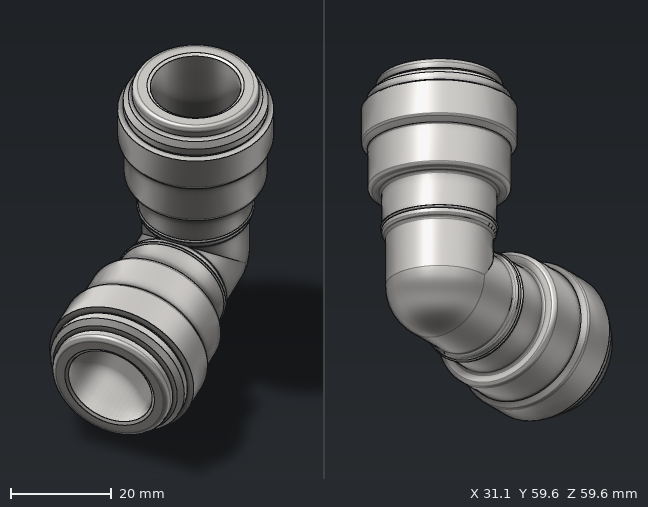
import cadquery as cq
import math

elbow_r = 10.75
tube_r = 22.9 / 2
bead_r = 0.3
body_r = 28.5 / 2
collar_r = 31.1 / 2
groove_r = 28.3 / 2
ring_r = 28.9 / 2
neck_r = 20.05 / 2
cap_r = 25.3 / 2

overall_length = 59.65
cap_end = overall_length - collar_r
cap_start = 41.8
ring_end = 41.2
ring_start = 38.55
collar_end = 37.95
collar_start = 30.6
body_end = 29.1
body_start = 20.2
bead_center = 12.45
step_start = 10.15
step_end = 11.35

cap_round = 1.1
neck_fillet = 0.3
ring_chamfer = 1.1
collar_chamfer = 1.2
body_round = 0.9
tube_fillet = 0.55
collar_round = 0.7

step_rise = tube_r - elbow_r
step_length = step_end - step_start
step_arc_r = (step_rise**2 + step_length**2) / (4 * step_rise)
step_middle = ((elbow_r + tube_r) / 2, (step_start + step_end) / 2)

collar_tangent = collar_round * math.tan(math.radians(45 / 2))
collar_tangent_leg = collar_tangent * math.cos(math.radians(45))

mouth_r = 19.3 / 2
mouth_bevel_depth = 0.35
socket_r = 18.0 / 2
bore_r = 16.0 / 2
socket_floor = body_start


def aim_along_minus_y(shape):
    """Turn an arm standing on +Z so that it points along -Y."""
    return shape.rotate((0, 0, 0), (1, 0, 0), 90)


def make_arm():
    """Solid outside of one arm, standing on +Z."""
    profile = (
        cq.Workplane("XZ")
        .lineTo(elbow_r, 0)
        .lineTo(elbow_r, step_start)
        .radiusArc(step_middle, step_arc_r)
        .radiusArc((tube_r, step_end), -step_arc_r)
        .lineTo(tube_r, bead_center - bead_r)
        .threePointArc((tube_r + bead_r, bead_center), (tube_r, bead_center + bead_r))
        .lineTo(tube_r, body_start - tube_fillet)
        .radiusArc((tube_r + tube_fillet, body_start), tube_fillet)
        .lineTo(body_r - body_round, body_start)
        .radiusArc((body_r, body_start + body_round), -body_round)
        .lineTo(body_r, body_end)
        .lineTo(collar_r - collar_chamfer, collar_start - collar_chamfer)
        .lineTo(collar_r - collar_tangent_leg, collar_start - collar_tangent_leg)
        .radiusArc((collar_r, collar_start + collar_tangent), -collar_round)
        .lineTo(collar_r, collar_end)
        .lineTo(groove_r, collar_end)
        .lineTo(groove_r, ring_start)
        .lineTo(ring_r, ring_start)
        .lineTo(ring_r, ring_end - ring_chamfer)
        .lineTo(ring_r - ring_chamfer, ring_end)
        .lineTo(neck_r, ring_end)
        .lineTo(neck_r, cap_start - neck_fillet)
        .radiusArc((neck_r + neck_fillet, cap_start), neck_fillet)
        .lineTo(cap_r, cap_start)
        .lineTo(cap_r, cap_end - cap_round)
        .radiusArc((cap_r - cap_round, cap_end), -cap_round)
        .lineTo(0, cap_end)
        .close()
    )
    return profile.revolve(360, (0, 0, 0), (0, 1, 0))


def make_passage():
    """Bore and beveled socket of one arm, standing on +Z."""
    profile = (
        cq.Workplane("XZ")
        .lineTo(bore_r, 0)
        .lineTo(bore_r, socket_floor)
        .lineTo(socket_r, socket_floor)
        .lineTo(socket_r, cap_end - mouth_bevel_depth)
        .lineTo(mouth_r, cap_end)
        .lineTo(0, cap_end)
        .close()
    )
    return profile.revolve(360, (0, 0, 0), (0, 1, 0))


arm = make_arm()
outside = arm.union(aim_along_minus_y(arm)).union(cq.Workplane("XY").sphere(elbow_r))

passage = make_passage()
inside = passage.union(aim_along_minus_y(passage)).union(cq.Workplane("XY").sphere(bore_r))

result = outside.cut(inside)